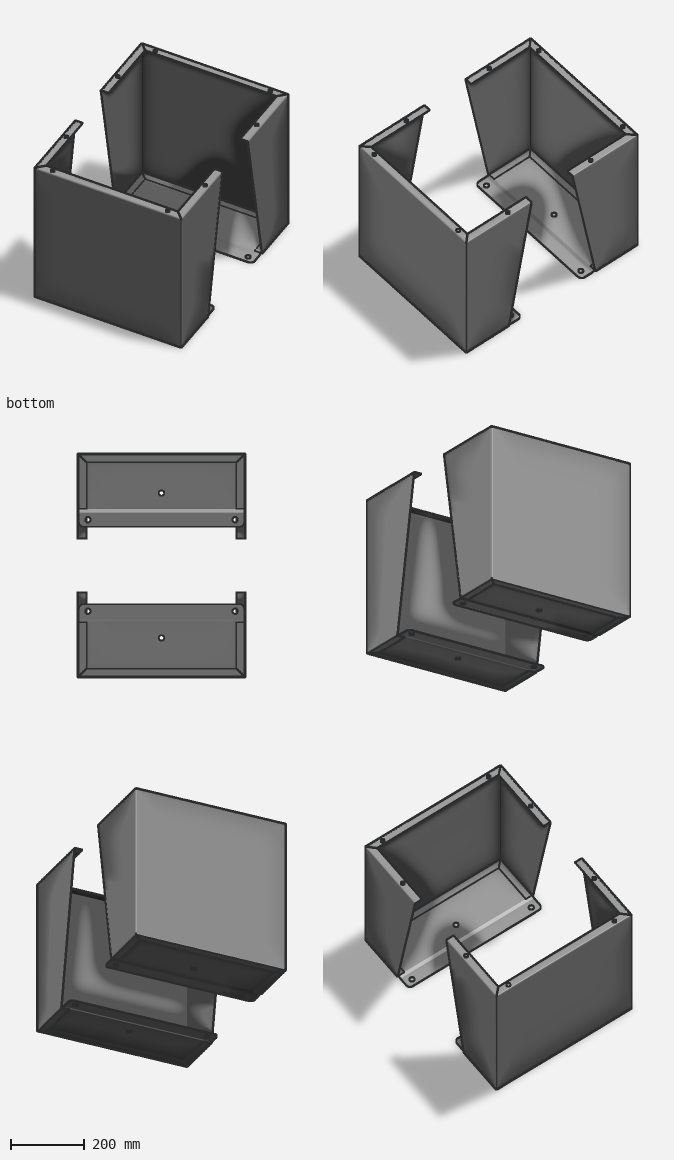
import cadquery as cq
import math

WIDTH = 457.2
LENGTH = 609.6
HEIGHT = 457.2

SHEET = 2.66
INNER_BEND_RADIUS = 1.8
BEND_RADIUS = INNER_BEND_RADIUS + SHEET
FLANGE_WIDTH = 25.0
MITRE_GAP = 1.2

TOP_DEPTH = 231.95
BOTTOM_DEPTH = 152.2
BOTTOM_FLANGE_DEPTH = 150.4

FLANGE_HOLE_DIAMETER = 11.11
FLANGE_HOLE_INSET = 13.8
BACK_HOLE_SIDE_OFFSET = 50.8
SIDE_HOLE_DEPTH = 158.4

FLOOR_HOLE_DIAMETER = 14.29
FLOOR_HOLE_DEPTH = 108.25
STEP_START = 151.4
STEP_LENGTH = 9.8
STEP_BEND_RADIUS = 4.0
TAB_END = 200.0
TAB_HOLE_DEPTH = 180.5
TAB_HOLE_SIDE_OFFSET = 28.6
TAB_CORNER_RADIUS = 12.7

BACK = LENGTH / 2
SIDE = WIDTH / 2


def rounded_block(inset, radius):
    """Block filling the rear half's envelope, inset from its outside and rounded on all edges."""
    front_overrun = 2 * BEND_RADIUS
    depth = TOP_DEPTH + front_overrun - inset
    return (
        cq.Workplane("XY")
        .box(WIDTH - 2 * inset, depth, HEIGHT - 2 * inset)
        .edges()
        .fillet(radius)
        .translate((0, BACK - inset - depth / 2, HEIGHT / 2))
    )


def flange_opening():
    """Window between the return flanges, running through the top and the bottom."""
    return (
        cq.Workplane("XY")
        .box(WIDTH - 2 * FLANGE_WIDTH, TOP_DEPTH, HEIGHT, centered=(True, True, False))
        .translate((0, BACK - FLANGE_WIDTH - TOP_DEPTH / 2, 0))
    )


def side_profile():
    """Full-width prism whose sloping front trims the side walls and their flanges."""
    return (
        cq.Workplane("YZ")
        .polyline([
            (BACK, 0),
            (BACK, HEIGHT),
            (BACK - TOP_DEPTH, HEIGHT),
            (BACK - TOP_DEPTH, HEIGHT - BEND_RADIUS),
            (BACK - BOTTOM_DEPTH, BEND_RADIUS),
            (BACK - BOTTOM_FLANGE_DEPTH, BEND_RADIUS),
            (BACK - BOTTOM_FLANGE_DEPTH, 0),
        ])
        .close()
        .extrude(SIDE, both=True)
    )


def mitre_slit(side, bottom):
    """Diagonal slit between two flanges at one back corner, open through the corner bend."""
    reach = FLANGE_WIDTH * math.sqrt(2) + MITRE_GAP
    middle = FLANGE_WIDTH / 2
    return (
        cq.Workplane("XY")
        .box(reach, MITRE_GAP, BEND_RADIUS, centered=(True, True, False))
        .rotate((0, 0, 0), (0, 0, 1), side * 45)
        .translate((side * (SIDE - middle), BACK - middle, bottom))
    )


def top_flange_holes():
    """Two holes through the back flange and one through each side flange."""
    back_x = SIDE - BACK_HOLE_SIDE_OFFSET
    side_x = SIDE - FLANGE_HOLE_INSET
    back_y = BACK - FLANGE_HOLE_INSET
    side_y = BACK - SIDE_HOLE_DEPTH
    return (
        cq.Workplane("XY", origin=(0, 0, HEIGHT - SHEET))
        .pushPoints([(-back_x, back_y), (back_x, back_y), (-side_x, side_y), (side_x, side_y)])
        .circle(FLANGE_HOLE_DIAMETER / 2)
        .extrude(SHEET)
    )


def make_shell():
    """Back wall, two tapered side walls and mitred return flanges, folded from one sheet."""
    shell = rounded_block(0, BEND_RADIUS)
    shell = shell.cut(rounded_block(SHEET, INNER_BEND_RADIUS))
    shell = shell.intersect(side_profile())
    shell = shell.cut(flange_opening())
    for side in (-1, 1):
        for bottom in (0, HEIGHT - BEND_RADIUS):
            shell = shell.cut(mitre_slit(side, bottom))
    return shell.cut(top_flange_holes())


def make_floor_plate():
    """Flat plate between the walls that steps down one sheet thickness to a mounting tab."""
    half_width = SIDE - BEND_RADIUS
    back_y = BACK - BEND_RADIUS
    step_top_y = BACK - STEP_START
    step_foot_y = step_top_y - STEP_LENGTH
    tab_y = BACK - TAB_END
    plate = (
        cq.Workplane("YZ")
        .polyline([
            (back_y, SHEET),
            (back_y, 2 * SHEET),
            (step_top_y, 2 * SHEET),
            (step_foot_y, SHEET),
            (tab_y, SHEET),
            (tab_y, 0),
            (step_foot_y, 0),
            (step_top_y, SHEET),
        ])
        .close()
        .extrude(half_width, both=True)
    )
    step_region = cq.selectors.BoxSelector(
        (-SIDE, step_foot_y - SHEET, 0),
        (SIDE, step_top_y + SHEET, 2 * SHEET),
    )
    plate = plate.edges("|X").edges(step_region).fillet(STEP_BEND_RADIUS)
    plate = plate.edges("|Z and <Y").fillet(TAB_CORNER_RADIUS)
    tab_hole_x = SIDE - TAB_HOLE_SIDE_OFFSET
    tab_hole_y = BACK - TAB_HOLE_DEPTH
    holes = (
        cq.Workplane("XY")
        .pushPoints([(0, BACK - FLOOR_HOLE_DEPTH), (-tab_hole_x, tab_hole_y), (tab_hole_x, tab_hole_y)])
        .circle(FLOOR_HOLE_DIAMETER / 2)
        .extrude(2 * SHEET)
    )
    return plate.cut(holes)


bodies = []
for body in (make_shell(), make_floor_plate()):
    bodies.append(body.val())
    bodies.append(body.mirror("XZ").val())

result = cq.Compound.makeCompound(bodies)